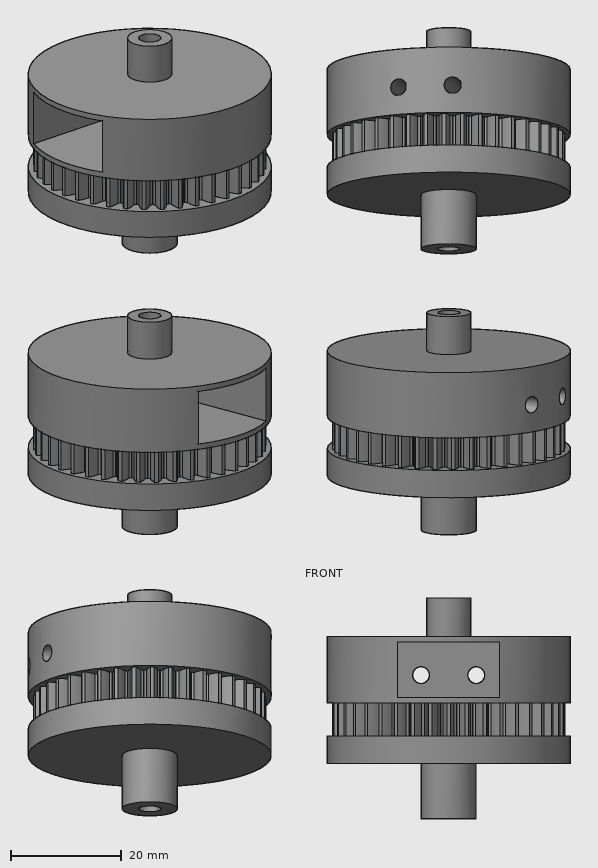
import cadquery as cq
import math

flange_dia = 44.0
flange_height = 5.0
belt_height = 6.0
drum_height = 12.0

lower_shaft_dia = 10.0
lower_shaft_length = 10.0
upper_shaft_dia = 8.0
upper_shaft_length = 7.0
bore_dia = 4.0

tooth_count = 40
tip_radius = 21.05
tip_half_width = 0.33
flank_mid_radius = 20.0
flank_mid_half_width = 0.75
root_radius = 18.88
root_half_width = 1.0
gap_floor_radius = 18.6
gap_floor_half_width = 0.065
gap_corner_radius = 18.75
gap_corner_half_width = 0.315

pocket_width = 18.5
pocket_height = 10.0
pocket_end_y = 5.0

cross_hole_dia = 3.0
cross_hole_spacing = 10.0
cross_hole_height = 5.0

belt_z = flange_height
drum_z = belt_z + belt_height
drum_top_z = drum_z + drum_height
drum_mid_z = drum_z + drum_height / 2
cross_hole_z = drum_z + cross_hole_height
flange_radius = flange_dia / 2
tooth_pitch_angle = 2 * math.pi / tooth_count


def disc(diameter, bottom_z, height):
    """Solid cylinder on the part axis."""
    return cq.Workplane("XY").workplane(offset=bottom_z).circle(diameter / 2).extrude(height)


def tooth_point(angle, radial, sideways):
    """Point given along and across the centre line of the tooth or gap at this angle."""
    x = radial * math.cos(angle) - sideways * math.sin(angle)
    y = radial * math.sin(angle) + sideways * math.cos(angle)
    return (x, y)


def belt_ring():
    """Ring of flat-tipped teeth with bulged flanks; each gap floor has a narrow flat between arcs."""
    outline = cq.Workplane("XY").workplane(offset=belt_z)
    outline = outline.moveTo(*tooth_point(0, root_radius, -root_half_width))
    for index in range(tooth_count):
        angle = index * tooth_pitch_angle
        next_angle = angle + tooth_pitch_angle
        gap_angle = angle + tooth_pitch_angle / 2
        outline = outline.threePointArc(
            tooth_point(angle, flank_mid_radius, -flank_mid_half_width),
            tooth_point(angle, tip_radius, -tip_half_width),
        )
        outline = outline.lineTo(*tooth_point(angle, tip_radius, tip_half_width))
        outline = outline.threePointArc(
            tooth_point(angle, flank_mid_radius, flank_mid_half_width),
            tooth_point(angle, root_radius, root_half_width),
        )
        outline = outline.threePointArc(
            tooth_point(gap_angle, gap_corner_radius, -gap_corner_half_width),
            tooth_point(gap_angle, gap_floor_radius, -gap_floor_half_width),
        )
        outline = outline.lineTo(*tooth_point(gap_angle, gap_floor_radius, gap_floor_half_width))
        outline = outline.threePointArc(
            tooth_point(gap_angle, gap_corner_radius, gap_corner_half_width),
            tooth_point(next_angle, root_radius, -root_half_width),
        )
    return outline.close().extrude(belt_height)


def pocket():
    """Box that opens the -Y side and ends at a flat wall beyond the bore."""
    length = pocket_end_y + flange_radius
    centre_y = pocket_end_y - length / 2
    box = cq.Workplane("XY").box(pocket_width, length, pocket_height)
    return box.translate((0, centre_y, drum_mid_z))


def cross_holes():
    """Pair of holes along Y, below mid height of the drum, starting at the axis plane."""
    half_spacing = cross_hole_spacing / 2
    plane = cq.Workplane("XZ", origin=(0, 0, cross_hole_z))
    centres = [(-half_spacing, 0), (half_spacing, 0)]
    return plane.pushPoints(centres).circle(cross_hole_dia / 2).extrude(-flange_radius)


body = disc(lower_shaft_dia, -lower_shaft_length, lower_shaft_length)
body = body.union(disc(flange_dia, 0, flange_height))
body = body.union(belt_ring())
body = body.union(disc(flange_dia, drum_z, drum_height))
body = body.union(disc(upper_shaft_dia, drum_top_z, upper_shaft_length))

total_length = lower_shaft_length + drum_top_z + upper_shaft_length
body = body.cut(disc(bore_dia, -lower_shaft_length, total_length))

result = body.cut(pocket()).cut(cross_holes())